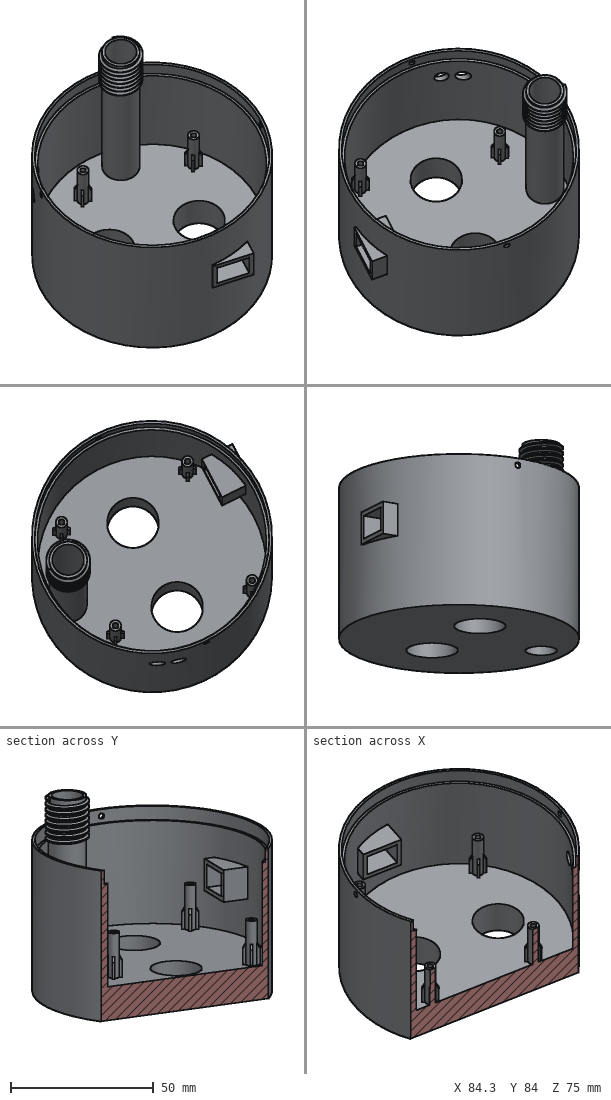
import cadquery as cq

cup_diameter = 84.0
cup_height = 55.0
wall = 2.0
floor_thickness = 12.5
rim_recess_wall = wall / 2
rim_recess_depth = 5.0

floor_hole_diameter = 18.0
floor_hole_x = 1.35
floor_hole_ys = (-16.8, 17.3)

rim_hole_diameter = 2.0
rim_hole_drop = 2.5
wire_hole_diameter = 5.0
wire_hole_z = 40.5
wire_hole_xs = (-17.3, -10.2)

pipe_x = -32.1
pipe_y = 1.5
pipe_diameter = 13.2
pipe_bore = 11.0
pipe_top = 75.0
thread_diameter = 15.4
thread_pitch = 2.1
thread_base = 1.7
thread_crest = 0.3
thread_embed = 0.2
thread_top_gap = 0.85
thread_lead_in_angle = 30
thread_turns = 7 + thread_lead_in_angle / 360

post_centres = [(-22.7, 25.1), (26.55, 24.6), (-22.8, -16.7), (27.1, -23.85)]
post_diameter = 4.0
post_hole_diameter = 2.0
post_height = 16.35
rib_count = 4
rib_first_angle = 64
rib_width = 0.9
rib_reach = 3.0
rib_outer_height = 6.0
rib_inner_height = 7.8

sleeve_inner_x = 30.25
overall_length = 84.3
sleeve_outer_x = overall_length - cup_diameter / 2
sleeve_y = 13.15
sleeve_z = 32.7
sleeve_width = 15.5
sleeve_height = 11.7
sleeve_wall = 1.7


def cylinder(diameter, bottom, top, x=0, y=0):
    """Upright cylinder between two heights."""
    return cq.Workplane("XY", origin=(x, y, bottom)).circle(diameter / 2).extrude(top - bottom)


def cross_hole(diameter, x, z, y_start, y_end):
    """Round cutter running along Y."""
    plane = cq.Workplane("XZ", origin=(x, y_start, z))
    return plane.circle(diameter / 2).extrude(y_start - y_end)


def make_cup():
    inner_diameter = cup_diameter - 2 * wall
    recess_diameter = cup_diameter - 2 * rim_recess_wall
    cup = cylinder(cup_diameter, 0, cup_height)
    cup = cup.cut(cylinder(inner_diameter, floor_thickness, cup_height))
    return cup.cut(cylinder(recess_diameter, cup_height - rim_recess_depth, cup_height))


def make_thread():
    """Right-handed ridge that ends on the -X side of the pipe."""
    root_radius = pipe_diameter / 2 - thread_embed
    crest_radius = thread_diameter / 2
    length = thread_turns * thread_pitch
    helix = cq.Wire.makeHelix(thread_pitch, length, root_radius)
    profile = cq.Workplane("XZ").polyline([
        (root_radius, -thread_base / 2),
        (crest_radius, -thread_crest / 2),
        (crest_radius, thread_crest / 2),
        (root_radius, thread_base / 2),
    ]).close()
    ridge = profile.sweep(cq.Workplane(helix), isFrenet=True)
    ridge = ridge.rotate((0, 0, 0), (0, 0, 1), 180 - thread_lead_in_angle)
    return ridge.translate((pipe_x, pipe_y, pipe_top - thread_top_gap - length))


def make_post(x, y):
    post_radius = post_diameter / 2
    post = cylinder(post_diameter, 0, post_height)
    rib = cq.Workplane("XZ").polyline([
        (0, 0),
        (rib_reach, 0),
        (rib_reach, rib_outer_height),
        (post_radius, rib_inner_height),
        (0, rib_inner_height),
    ]).close().extrude(rib_width / 2, both=True)
    for i in range(rib_count):
        angle = rib_first_angle + i * 360 / rib_count
        post = post.union(rib.rotate((0, 0, 0), (0, 0, 1), angle))
    post = post.cut(cylinder(post_hole_diameter, 0, post_height))
    return post.translate((x, y, floor_thickness))


def sleeve_block(width, height):
    length = sleeve_outer_x - sleeve_inner_x
    centre_x = (sleeve_outer_x + sleeve_inner_x) / 2
    return cq.Workplane("XY").box(length, width, height).translate((centre_x, sleeve_y, sleeve_z))


result = make_cup()

for hole_y in floor_hole_ys:
    result = result.cut(cylinder(floor_hole_diameter, 0, floor_thickness, floor_hole_x, hole_y))

rim_hole_z = cup_height - rim_hole_drop
result = result.cut(cross_hole(rim_hole_diameter, 0, rim_hole_z, cup_diameter / 2, -cup_diameter / 2))
for hole_x in wire_hole_xs:
    result = result.cut(cross_hole(wire_hole_diameter, hole_x, wire_hole_z, 0, -cup_diameter / 2))

for post_x, post_y in post_centres:
    result = result.union(make_post(post_x, post_y))

result = result.union(sleeve_block(sleeve_width, sleeve_height))
result = result.cut(sleeve_block(sleeve_width - 2 * sleeve_wall, sleeve_height - 2 * sleeve_wall))

pipe = cylinder(pipe_diameter, 0, pipe_top, pipe_x, pipe_y).union(make_thread())
result = result.union(pipe)
result = result.cut(cylinder(pipe_bore, 0, pipe_top, pipe_x, pipe_y))